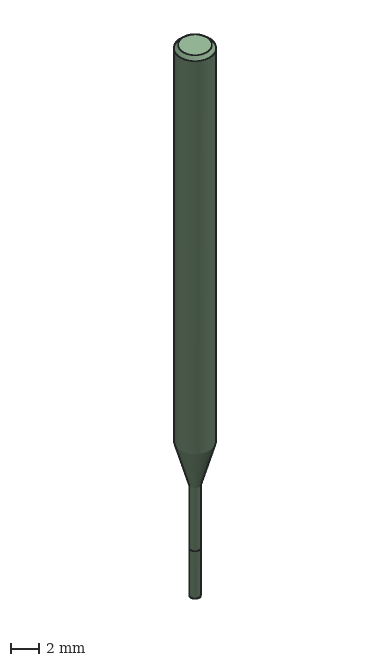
import cadquery as cq

TOTAL_LENGTH = 50.2
SHANK_DIAMETER = 3.0
DRILL_DIAMETER = 0.85
POINT_HEIGHT = 0.2
DRILL_LENGTH = 4.5
NECK_LENGTH = 5.7
TAPER_LENGTH = 3.95
CHAMFER = 0.3

shank_radius = SHANK_DIAMETER / 2
drill_radius = DRILL_DIAMETER / 2
neck_top = DRILL_LENGTH + NECK_LENGTH
taper_top = neck_top + TAPER_LENGTH


def revolve_profile(points):
    """Revolve a closed (radius, height) outline around the Z axis."""
    return cq.Workplane("XZ").polyline(points).close().revolve(360, (0, 0), (0, 1))


def make_drill_tip():
    """Cutting end: a cylinder with a shallow conical point."""
    return revolve_profile([
        (0, 0),
        (drill_radius, POINT_HEIGHT),
        (drill_radius, DRILL_LENGTH),
        (0, DRILL_LENGTH),
    ])


def make_shank():
    """Thin neck, taper and chamfered shank, resting on the drill tip."""
    return revolve_profile([
        (0, DRILL_LENGTH),
        (drill_radius, DRILL_LENGTH),
        (drill_radius, neck_top),
        (shank_radius, taper_top),
        (shank_radius, TOTAL_LENGTH - CHAMFER),
        (shank_radius - CHAMFER, TOTAL_LENGTH),
        (0, TOTAL_LENGTH),
    ])


drill_tip = make_drill_tip()
shank = make_shank()

result = cq.Compound.makeCompound([drill_tip.val(), shank.val()])